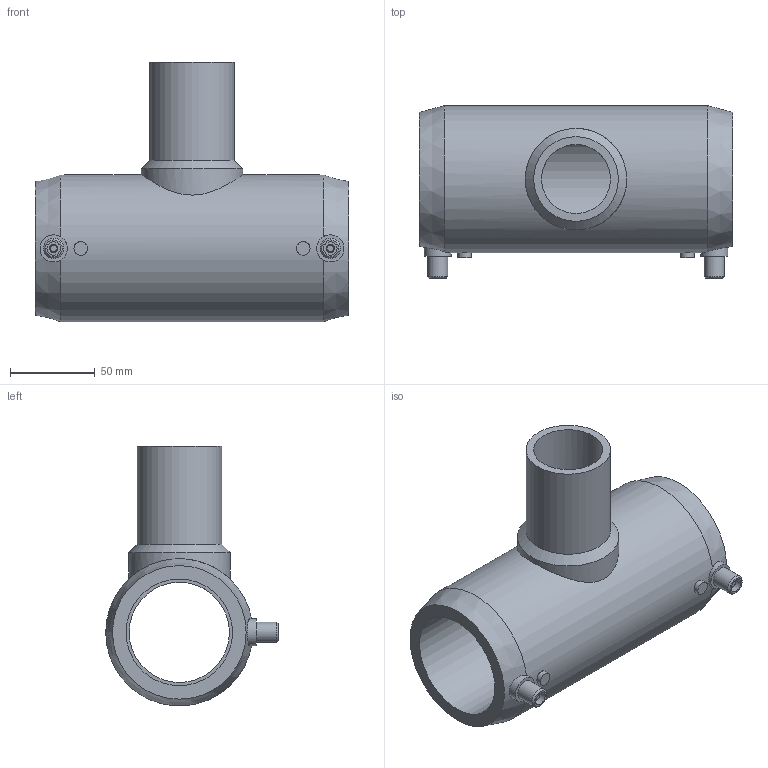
import cadquery as cq
import math


BODY_LENGTH = 185.5
BODY_DIAMETER = 87.0
END_TAPER_LENGTH = 15.0
END_TAPER_ANGLE = 15.0
SOCKET_DIAMETER = 63.0
SOCKET_DEPTH = 63.0
STOP_BORE_DIAMETER = 59.22

BRANCH_TOP = 110.0
BRANCH_DIAMETER = 50.0
BRANCH_BORE_DIAMETER = 40.8
COLLAR_DIAMETER = 60.0
COLLAR_TOP = 52.0
COLLAR_CHAMFER = (COLLAR_DIAMETER - BRANCH_DIAMETER) / 2

TERMINAL_END_OFFSET = 11.0
TERMINAL_BASE_DIAMETER = 16.0
TERMINAL_BASE_REACH = 45.5
TERMINAL_DIAMETER = 12.0
TERMINAL_REACH = 58.5
TERMINAL_CHAMFER = 1.0
TERMINAL_WELL_DIAMETER = 8.0
TERMINAL_WELL_DEPTH = 10.0
CONTACT_DIAMETER = 5.0
CONTACT_RECESS = 2.5
CONTACT_CHAMFER = 0.5

INDICATOR_END_OFFSET = 27.0
INDICATOR_DIAMETER = 8.0
INDICATOR_REACH = 46.5

WALL_ROOT = (BODY_DIAMETER + SOCKET_DIAMETER) / 4
HALF_LENGTH = BODY_LENGTH / 2


def cylinder_x(diameter, start, end):
    return cq.Workplane("YZ", origin=(start, 0, 0)).circle(diameter / 2).extrude(end - start)


def cylinder_z(diameter, top):
    """Cylinder rising from the run axis to the given height."""
    return cq.Workplane("XY").circle(diameter / 2).extrude(top)


def cylinder_out(x, diameter, start, end):
    """Cylinder pointing along -Y, between two distances from the run axis."""
    return cq.Workplane("XZ", origin=(x, -start, 0)).circle(diameter / 2).extrude(end - start)


def run_body():
    radius = BODY_DIAMETER / 2
    end_radius = radius - END_TAPER_LENGTH * math.tan(math.radians(END_TAPER_ANGLE))
    taper_start = HALF_LENGTH - END_TAPER_LENGTH
    profile = [
        (-HALF_LENGTH, 0),
        (-HALF_LENGTH, end_radius),
        (-taper_start, radius),
        (taper_start, radius),
        (HALF_LENGTH, end_radius),
        (HALF_LENGTH, 0),
    ]
    return cq.Workplane("XY").polyline(profile).close().revolve(360, (0, 0, 0), (1, 0, 0))


def branch():
    collar = cylinder_z(COLLAR_DIAMETER, COLLAR_TOP).faces(">Z").chamfer(COLLAR_CHAMFER)
    return cylinder_z(BRANCH_DIAMETER, BRANCH_TOP).union(collar)


def bores():
    socket_inner_end = HALF_LENGTH - SOCKET_DEPTH
    cutter = cylinder_x(STOP_BORE_DIAMETER, -HALF_LENGTH, HALF_LENGTH)
    cutter = cutter.union(cylinder_x(SOCKET_DIAMETER, -HALF_LENGTH, -socket_inner_end))
    cutter = cutter.union(cylinder_x(SOCKET_DIAMETER, socket_inner_end, HALF_LENGTH))
    return cutter.union(cylinder_z(BRANCH_BORE_DIAMETER, BRANCH_TOP))


def terminal(x):
    well_floor = TERMINAL_REACH - TERMINAL_WELL_DEPTH
    contact_tip = TERMINAL_REACH - CONTACT_RECESS
    base = cylinder_out(x, TERMINAL_BASE_DIAMETER, WALL_ROOT, TERMINAL_BASE_REACH)
    shroud = cylinder_out(x, TERMINAL_DIAMETER, WALL_ROOT, TERMINAL_REACH)
    shroud = shroud.faces("<Y").chamfer(TERMINAL_CHAMFER)
    well = cylinder_out(x, TERMINAL_WELL_DIAMETER, well_floor, TERMINAL_REACH)
    contact = cylinder_out(x, CONTACT_DIAMETER, WALL_ROOT, contact_tip)
    contact = contact.faces("<Y").chamfer(CONTACT_CHAMFER)
    return base.union(shroud).cut(well).union(contact)


def indicator(x):
    return cylinder_out(x, INDICATOR_DIAMETER, WALL_ROOT, INDICATOR_REACH)


result = run_body().union(branch()).cut(bores())
for side in (-1, 1):
    result = result.union(terminal(side * (HALF_LENGTH - TERMINAL_END_OFFSET)))
    result = result.union(indicator(side * (HALF_LENGTH - INDICATOR_END_OFFSET)))